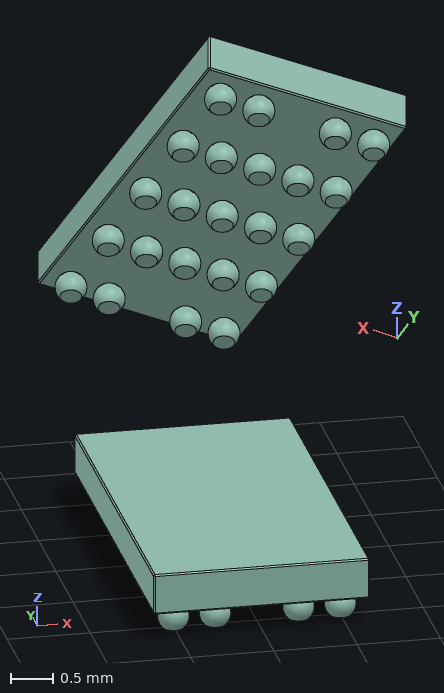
import cadquery as cq

body_width = 2.6
body_length = 4.6
total_height = 0.79
body_height = 0.5
edge_chamfer = 0.02

ball_radius = 0.19
ball_center_height = 0.14
column_pitch = 0.5
row_pitch = 2 * column_pitch
columns = 5
rows = 5

body_bottom = total_height - body_height
middle_column = columns // 2
middle_row = rows // 2
last_row = rows - 1


def make_body():
    """Rectangular body with every edge lightly broken."""
    block = cq.Workplane("XY").workplane(offset=body_bottom).box(
        body_width, body_length, body_height, centered=(True, True, False)
    )
    return block.edges().chamfer(edge_chamfer)


def ball_positions():
    """Full grid, except the middle place in each end row."""
    positions = []
    for column in range(columns):
        for row in range(rows):
            if column == middle_column and row in (0, last_row):
                continue
            x = (column - middle_column) * column_pitch
            y = (row - middle_row) * row_pitch
            positions.append((x, y))
    return positions


def make_ball(x, y):
    """Sphere with a flat underside at Z = 0; its crown reaches into the body."""
    sphere = cq.Workplane("XY").sphere(ball_radius).translate((x, y, ball_center_height))
    ball_space = cq.Workplane("XY").box(
        2 * ball_radius, 2 * ball_radius, total_height, centered=(True, True, False)
    )
    return sphere.intersect(ball_space.translate((x, y, 0)))


result = make_body()
for ball_x, ball_y in ball_positions():
    result = result.union(make_ball(ball_x, ball_y))